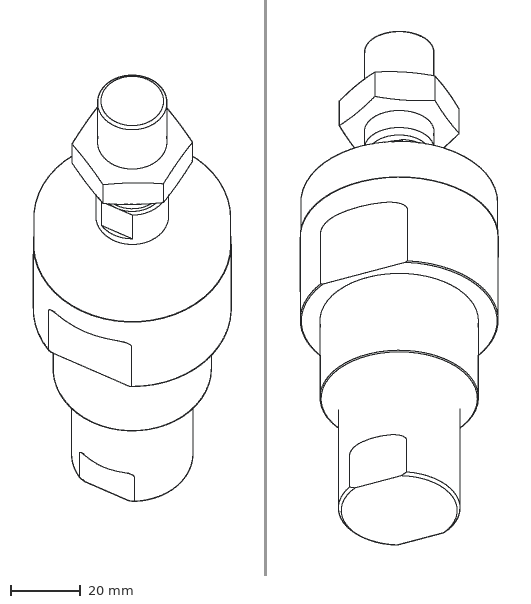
import cadquery as cq
import math

total_height = 165.0
shank_dia = 35.0
body_dia = 45.5
head_dia = 57.0
cap_dia = 56.6
collar_dia = 21.0
neck_dia = 17.7
thread_dia = 20.0

shank_fillet_start = 36.1
body_bottom = 40.1
head_bottom = 68.0
cap_bottom = 98.3
cap_edge = 110.5
collar_top = 125.2
neck_bottom = 126.0
neck_top = 128.0
thread_bottom = 129.9

shank_chamfer = 0.8
small_chamfer = 0.3
rod_end_chamfer_width = 1.0
rod_end_chamfer_height = 0.7

boot_rim_crest = (27.4, 111.9)
boot_rim_end = (25.7, 111.9)
boot_waves = [
    ((24.6, 111.5), (23.5, 112.0)),
    ((22.0, 113.0), (20.1, 112.7)),
    ((18.5, 112.2), (16.8, 112.9)),
    ((14.5, 113.4), (12.2, 112.5)),
]
boot_inner_height = 111.5

shank_flats_width = 30.0
shank_flats_top = 14.2
shank_flats_fillet = 2.0
head_flats_width = 50.0
head_flats_top = 89.5
head_flats_fillet = 2.6
rod_flats_width = 18.3
rod_flats_bottom = 114.2

nut_width = 30.0
nut_thickness = 10.0
nut_bottom = 136.0
nut_chamfer_height = 0.7


def make_turned_coupler():
    """Revolve the housing, the boot and the threaded rod about Z."""
    shank_radius = shank_dia / 2
    body_radius = body_dia / 2
    head_radius = head_dia / 2
    shank_fillet = body_bottom - shank_fillet_start
    fillet_mid_offset = shank_fillet * (1 - math.sqrt(0.5))
    profile = (
        cq.Workplane("XZ")
        .lineTo(shank_radius - shank_chamfer, 0)
        .lineTo(shank_radius, shank_chamfer)
        .lineTo(shank_radius, shank_fillet_start)
        .threePointArc(
            (shank_radius + fillet_mid_offset, body_bottom - fillet_mid_offset),
            (shank_radius + shank_fillet, body_bottom),
        )
        .lineTo(body_radius - small_chamfer, body_bottom)
        .lineTo(body_radius, body_bottom + small_chamfer)
        .lineTo(body_radius, head_bottom)
        .lineTo(head_radius - small_chamfer, head_bottom)
        .lineTo(head_radius, head_bottom + small_chamfer)
        .lineTo(head_radius, cap_bottom)
        .lineTo(cap_dia / 2, cap_bottom)
        .lineTo(cap_dia / 2, cap_edge)
        .threePointArc(boot_rim_crest, boot_rim_end)
    )
    for wave_middle, wave_end in boot_waves:
        profile = profile.threePointArc(wave_middle, wave_end)
    profile = (
        profile.lineTo(collar_dia / 2, boot_inner_height)
        .lineTo(collar_dia / 2, collar_top)
        .lineTo(rod_flats_width / 2, collar_top)
        .lineTo(neck_dia / 2, neck_bottom)
        .lineTo(neck_dia / 2, neck_top)
        .lineTo(thread_dia / 2, thread_bottom)
        .lineTo(thread_dia / 2, total_height - rod_end_chamfer_height)
        .lineTo(thread_dia / 2 - rod_end_chamfer_width, total_height)
        .lineTo(0, total_height)
        .close()
    )
    return profile.revolve(360, (0, 0, 0), (0, 1, 0))


def make_flats_cutter(across_flats, bottom, top, cut_dia, fillet=0):
    """Two blocks that leave a pair of flats facing -Y and +Y, with an optional fillet under the top."""
    depth = (cut_dia - across_flats) / 2 + fillet
    center_offset = (across_flats + depth) / 2
    cutter = cq.Workplane("XY")
    for side in (-1, 1):
        block = (
            cq.Workplane("XY", origin=(0, side * center_offset, bottom))
            .box(cut_dia, depth, top - bottom, centered=(True, True, False))
        )
        if fillet > 0:
            inner_face = "<Y" if side > 0 else ">Y"
            block = block.faces(inner_face).edges(">Z").fillet(fillet)
        cutter = cutter.add(block)
    return cutter.combine()


def make_coupler():
    """Turned coupler with the wrench flats on the shank, the head and the rod."""
    coupler = make_turned_coupler()
    shank_cutter = make_flats_cutter(shank_flats_width, 0, shank_flats_top, shank_dia, shank_flats_fillet)
    head_cutter = make_flats_cutter(head_flats_width, head_bottom, head_flats_top, head_dia, head_flats_fillet)
    rod_cutter = make_flats_cutter(rod_flats_width, rod_flats_bottom, collar_top, collar_dia)
    return coupler.cut(shank_cutter).cut(head_cutter).cut(rod_cutter)


def make_nut():
    """Hex nut with corners on the Y axis, both ends turned to a shallow cone."""
    corner_radius = nut_width / math.sqrt(3)
    face_radius = nut_width / 2
    hexagon = (
        cq.Workplane("XY", origin=(0, 0, nut_bottom))
        .transformed(rotate=(0, 0, 90))
        .polygon(6, 2 * corner_radius)
        .extrude(nut_thickness)
    )
    nut_top = nut_bottom + nut_thickness
    coned_blank = (
        cq.Workplane("XZ")
        .moveTo(thread_dia / 2, nut_bottom)
        .lineTo(face_radius, nut_bottom)
        .lineTo(corner_radius, nut_bottom + nut_chamfer_height)
        .lineTo(corner_radius, nut_top - nut_chamfer_height)
        .lineTo(face_radius, nut_top)
        .lineTo(thread_dia / 2, nut_top)
        .close()
        .revolve(360, (0, 0, 0), (0, 1, 0))
    )
    return hexagon.intersect(coned_blank)


coupler = make_coupler()
nut = make_nut()

result = cq.Compound.makeCompound([coupler.solids().val(), nut.solids().val()])